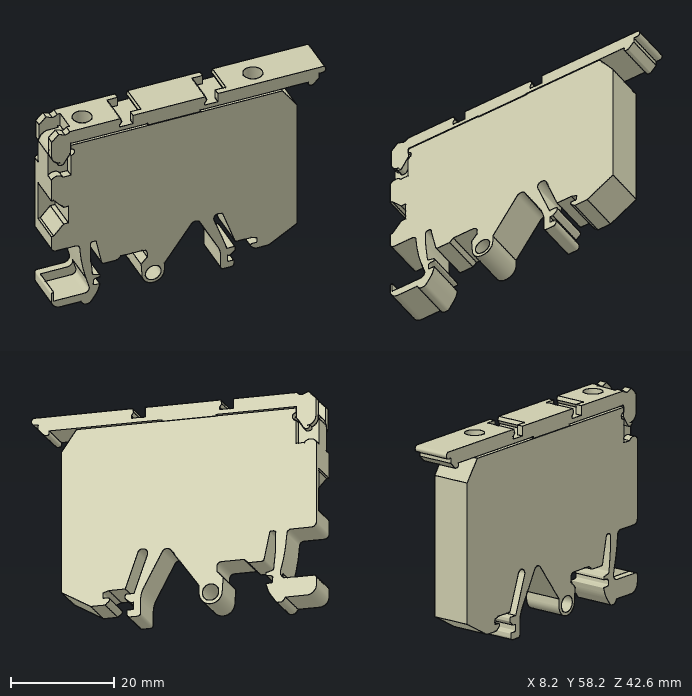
import cadquery as cq
import math


clearance = 1.0
shortest_line = 1e-6

body_width = 8.2
body_length = 52.0
body_top = 39.3
body_bottom = 14.7
pocket_side_x = -2.45

tongue_width = 4.9
tongue_round = 2.0
tongue_slope_bottom = 37.3
notch_depth = 4.15
notch_floor = 32.1
notch_bump_radius = 1.5
detent_height = 37.6
detent_radius = 0.75

eye_y = 21.57
eye_z = 3.45
eye_radius = 2.38
eye_hole_radius = 1.66
eye_bottom = eye_z - eye_radius
eye_back = eye_y + eye_radius
eye_front = eye_y - eye_radius

foot_top = 4.87
foot_bottom = 0.92
foot_floor = 2.75
foot_fillet = 1.2
foot_floor_fillet = 1.0
foot_pocket_top = 6.3
foot_ridge = 0.5
shaft_root_y = 7.75
shaft_bend_y = 6.27
shaft_bend_z = 10.0

pocket_bottom = 18.45
pocket_top = 27.05
pocket_depth = 3.6
pocket_ledge_depth = 2.6
pocket_lip = 0.5
pocket_slope_height = 2.3

carrier_width = 7.9
carrier_front = 0.15
carrier_back = 58.16
carrier_top = 42.55
carrier_bottom = 39.65
nose_height = 1.45
nose_radius = nose_height / 2
arm_gap = 4.55
arm_gap_depth = 4.62
latch_bottom = 38.75
arm_bottom = 34.95
scoop_front = 1.65
scoop_back = 3.97
bridge_front = 20.5
bridge_back = 31.6
screw_hole_diameter = 3.9
screw_hole_x = 0.45
screw_hole_places = (8.1, 44.2)

slot_floor = 40.58
slot_places = (17.15, 35.12)
slot_half_overlap = 0.18
slot_reach = 2.42
slot_end_x = 2.65
slot_lip_out = 0.25
slot_lip_drop = 0.8
slot_undercut = 0.2
slot_undercut_drop = 1.5
slot_root_radius = 0.2


def rounded_outline(corners):
    """Closed YZ outline through (y, z, radius) corners, each rounded by a tangent arc."""
    spans = []
    for i, (y, z, radius) in enumerate(corners):
        corner = cq.Vector(y, z)
        before = (cq.Vector(*corners[i - 1][:2]) - corner).normalized()
        after = (cq.Vector(*corners[(i + 1) % len(corners)][:2]) - corner).normalized()
        half_angle = before.getAngle(after) / 2
        setback = radius / math.tan(half_angle)
        bisector = (before + after).normalized()
        arc_middle = corner + bisector * (radius / math.sin(half_angle) - radius)
        spans.append((corner + before * setback, arc_middle, corner + after * setback, radius))

    first_point = spans[0][2]
    outline = cq.Workplane("YZ").moveTo(first_point.x, first_point.y)
    position = first_point
    for start, middle, end, radius in spans[1:] + spans[:1]:
        if (start - position).Length > shortest_line:
            outline = outline.lineTo(start.x, start.y)
        if radius > 0:
            outline = outline.threePointArc((middle.x, middle.y), (end.x, end.y))
        position = end
    return outline.close()


def prism(corners, x_start, x_end):
    """Rounded YZ outline extruded between two X positions."""
    return rounded_outline(corners).extrude(x_end - x_start).translate((x_start, 0, 0))


def box(x_range, y_range, z_range):
    """Box given by its limits along each axis."""
    sizes = [high - low for low, high in (x_range, y_range, z_range)]
    corner = (x_range[0], y_range[0], z_range[0])
    return cq.Workplane("XY").box(*sizes, centered=False).translate(corner)


def housing():
    top_and_back = [
        (0, tongue_slope_bottom, 0),
        (0.73, body_top, tongue_round),
        (48.9, body_top, 0),
        (body_length, 35.0, 0),
        (body_length, 6.36, 0),
        (46.0, 2.92, 0),
    ]
    back_rail_hook = [
        (43.05, 2.92, 0),
        (41.48, 4.33, 0.4),
        (43.5, 4.33, 0.25),
        (43.5, 5.4, 0.15),
        (42.3, 5.8, 0),
        (38.95, 5.8, 0),
    ]
    back_spring_leg = [
        (36.15, 13.65, 1.0),
        (33.98, 13.65, 1.0),
        (37.17, 4.72, 0),
        (38.96, 4.72, 0.3),
        (38.96, 3.8, 0.2),
        (37.95, 2.93, 0),
        (37.3, 2.93, 0),
        (37.3, 1.5, 0.2),
        (38.65, 1.5, 0.2),
        (38.65, 0, 0.6),
        (35.83, 0, 0.6),
        (35.83, 4.54, 5.0),
        (30.62, 14.13, 1.05),
    ]
    mounting_eye = [
        (eye_back, 5.0, 0),
        (eye_back, eye_bottom, eye_radius),
        (eye_front, eye_bottom, eye_radius),
        (eye_front, eye_z, 0),
        (19.0, 6.2, 0),
        (20.3, 7.6, 0),
        (20.3, 9.45, 1.0),
        (14.75, 9.45, 0),
        (13.9, 8.7, 0),
    ]
    spring_foot = [
        (10.73, 8.7, 0.5),
        (9.46, 14.7, 0.35),
        (8.3, 14.7, 0.45),
        (8.3, 11.0, 12.0),
        (8.73, 6.7, 0.5),
        (10.3, 6.3, 0.15),
        (10.3, 5.7, 0.15),
        (8.9, 5.6, 0.55),
        (8.9, 4.17, 0.3),
        (10.35, 4.1, 0.1),
        (9.8, 2.3, 4.0),
        (8.16, 0, 0.8),
        (6.9, 0, 0.9),
        (6.3, foot_bottom, 0),
        (0, foot_bottom, 1.95),
        (0, foot_top, foot_ridge),
        (shaft_root_y, foot_top, foot_fillet),
        (shaft_bend_y, shaft_bend_z, 33.0),
        (5.97, body_bottom, 0.9),
        (0, body_bottom, 1.0),
    ]
    corners = top_and_back + back_rail_hook + back_spring_leg + mounting_eye + spring_foot
    eye_hole = (
        cq.Workplane("YZ")
        .center(eye_y, eye_z)
        .circle(eye_hole_radius)
        .extrude(body_width, both=True)
    )
    return prism(corners, -body_width / 2, body_width / 2).cut(eye_hole)


def hinge_notch(x_start, x_end):
    """Space for one carrier arm, with a detent recess in its back wall."""
    corners = [
        (notch_depth, body_top + clearance, 0),
        (notch_depth, notch_floor, 0),
        (2.45, notch_floor, 0),
        (1.15, 33.63, notch_bump_radius),
        (0, notch_floor, 0),
        (-clearance, notch_floor, 0),
        (-clearance, body_top + clearance, 0),
    ]
    detent = (
        cq.Workplane("YZ")
        .center(notch_depth, detent_height)
        .circle(detent_radius)
        .extrude(x_end - x_start)
        .translate((x_start, 0, 0))
    )
    return prism(corners, x_start, x_end).union(detent)


def front_pocket():
    """Recess with sloped floor and roof, open to the front and to +X."""
    slope_low = pocket_bottom + pocket_slope_height
    slope_high = pocket_top - pocket_slope_height
    corners = [
        (-clearance, pocket_bottom, 0),
        (pocket_lip, pocket_bottom, 0),
        (pocket_ledge_depth, slope_low, 0),
        (pocket_depth, slope_low, 0),
        (pocket_depth, slope_high, 0),
        (pocket_ledge_depth, slope_high, 0),
        (pocket_lip, pocket_top, 0),
        (-clearance, pocket_top, 0),
    ]
    return prism(corners, pocket_side_x, body_width / 2)


def foot_pocket():
    """Hollow in the top of the foot; its back wall continues the shaft's front face."""
    shaft_lean = (shaft_root_y - shaft_bend_y) / (shaft_bend_z - foot_top)
    wall_top_y = shaft_root_y - (foot_pocket_top - foot_top) * shaft_lean
    wall_bottom_y = shaft_root_y + (foot_top - foot_floor) * shaft_lean
    corners = [
        (foot_ridge, foot_floor, 0),
        (wall_bottom_y, foot_floor, foot_floor_fillet),
        (wall_top_y, foot_pocket_top, 0),
        (foot_ridge, foot_pocket_top, 0),
    ]
    return prism(corners, pocket_side_x, body_width / 2)


def carrier_blank():
    """Marker carrier profile: pull nose and latch at the back, hinge arm at the front."""
    nose_bottom = carrier_top - nose_height
    corners = [
        (notch_depth, carrier_bottom, 0),
        (54.5, carrier_bottom, 0),
        (54.5, latch_bottom, 0.4),
        (55.45, latch_bottom, 0.2),
        (56.75, 40.05, 0),
        (56.75, nose_bottom, 0),
        (carrier_back, nose_bottom, nose_radius),
        (carrier_back, carrier_top, nose_radius),
        (scoop_front, carrier_top, 0),
        (carrier_front, 41.1, 0),
        (carrier_front, 35.75, 1.9),
        (1.4, 35.65, 0),
        (1.4, arm_bottom, 0.6),
        (2.55, arm_bottom, 0.4),
        (notch_depth, 37.35, 0),
    ]
    half_width = carrier_width / 2
    bridge = box(
        (-half_width, half_width), (bridge_front, bridge_back), (body_top, carrier_bottom)
    )
    return prism(corners, -half_width, half_width).union(bridge)


def thumb_scoop():
    """Shallow dip across the top of the arms: rounded at the back, flat toward the front."""
    return (
        cq.Workplane("YZ")
        .moveTo(scoop_front, carrier_top)
        .lineTo(2.95, 42.02)
        .threePointArc((3.5, 42.15), (scoop_back, carrier_top))
        .close()
        .extrude(carrier_width, both=True)
    )


def marker_recess(centre_y):
    """Recess open to -X whose back wall has a lip over an undercut."""
    front = centre_y - slot_half_overlap
    back = centre_y + slot_reach
    corners = [
        (front, carrier_top + clearance, 0),
        (front, slot_floor, 0),
        (back + slot_undercut, slot_floor, slot_root_radius),
        (back + slot_undercut, carrier_top - slot_undercut_drop, 0),
        (back - slot_lip_out, carrier_top - slot_lip_drop, 0),
        (back, carrier_top, 0),
        (back, carrier_top + clearance, 0),
    ]
    return prism(corners, -body_width, slot_end_x)


def carrier():
    half_gap = arm_gap / 2
    arm_space = box(
        (-half_gap, half_gap), (-clearance, arm_gap_depth), (0, carrier_top + clearance)
    )
    part = carrier_blank().cut(thumb_scoop()).cut(arm_space)
    for y in slot_places:
        recess = marker_recess(y)
        opposed_recess = recess.rotate((0, y, 0), (0, y, 1), 180)
        part = part.cut(recess).cut(opposed_recess)
    for y in screw_hole_places:
        hole = (
            cq.Workplane("XY", origin=(screw_hole_x, y, carrier_bottom))
            .circle(screw_hole_diameter / 2)
            .extrude(carrier_top - carrier_bottom)
        )
        part = part.cut(hole)
    return part


half_tongue = tongue_width / 2
notch_outer_x = body_width / 2

result = (
    housing()
    .cut(hinge_notch(half_tongue, notch_outer_x))
    .cut(hinge_notch(-notch_outer_x, -half_tongue))
    .cut(front_pocket())
    .cut(foot_pocket())
    .union(carrier())
)